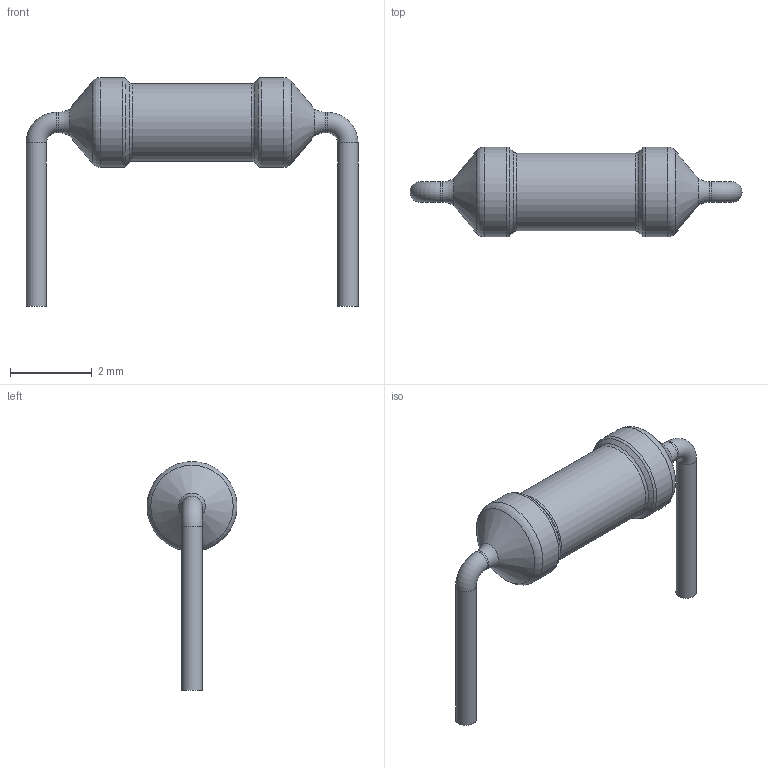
import cadquery as cq
import math


lead_diameter = 0.5
lead_pitch = 7.62
bend_radius = 0.5
lead_drop = 4.5
lead_radius = lead_diameter / 2
lead_x = lead_pitch / 2
bend_start_x = lead_x - bend_radius

barrel_radius = 1.9 / 2
cap_radius = 2.2 / 2
step_foot_x = 1.5
step_angle = math.radians(45)
step_height = cap_radius - barrel_radius
step_head_x = step_foot_x + step_height / math.tan(step_angle)
step_blend_radius = 0.1
step_blend_length = step_blend_radius * math.tan(step_angle / 2)
barrel_end_x = step_foot_x - step_blend_length
cap_straight_end_x = 2.24
shoulder_radius = 0.25

flare_start_x = 2.995
flare_end_x = 3.264
flare_radius = 0.5


def point_on_circle(center, radius, angle):
    return (center[0] + radius * math.cos(angle), center[1] + radius * math.sin(angle))


def end_cap_profile():
    """Closed (x, radius) outline from the +X end of the barrel to the start of the lead bend."""
    up = math.pi / 2
    down = -math.pi / 2

    foot_center = (barrel_end_x, barrel_radius + step_blend_radius)
    head_center = (step_head_x + step_blend_length, cap_radius - step_blend_radius)

    def foot_point(turn):
        return point_on_circle(foot_center, step_blend_radius, down + turn)

    def head_point(turn):
        return point_on_circle(head_center, step_blend_radius, up + turn)

    flare_center = (flare_end_x, lead_radius + flare_radius)
    flare_sweep = math.asin((flare_end_x - flare_start_x) / flare_radius)
    flare_start = point_on_circle(flare_center, flare_radius, down - flare_sweep)
    flare_middle = point_on_circle(flare_center, flare_radius, down - flare_sweep / 2)

    shoulder_center = (cap_straight_end_x, cap_radius - shoulder_radius)
    cone_dx = flare_start[0] - shoulder_center[0]
    cone_dr = flare_start[1] - shoulder_center[1]
    shoulder_end_angle = math.atan2(cone_dr, cone_dx) + math.acos(
        shoulder_radius / math.hypot(cone_dx, cone_dr)
    )
    shoulder_middle_angle = (up + shoulder_end_angle) / 2

    return (
        cq.Workplane("XZ")
        .moveTo(barrel_end_x, 0)
        .lineTo(*foot_point(0))
        .threePointArc(foot_point(step_angle / 2), foot_point(step_angle))
        .lineTo(*head_point(step_angle))
        .threePointArc(head_point(step_angle / 2), head_point(0))
        .lineTo(cap_straight_end_x, cap_radius)
        .threePointArc(
            point_on_circle(shoulder_center, shoulder_radius, shoulder_middle_angle),
            point_on_circle(shoulder_center, shoulder_radius, shoulder_end_angle),
        )
        .lineTo(*flare_start)
        .threePointArc(flare_middle, (flare_end_x, lead_radius))
        .lineTo(bend_start_x, lead_radius)
        .lineTo(bend_start_x, 0)
        .close()
    )


def barrel():
    """Cylinder between the two end caps."""
    return cq.Workplane("YZ").circle(barrel_radius).extrude(barrel_end_x, both=True)


def end_cap():
    """Turned +X end: step, cap, cone, flare and the straight start of the lead."""
    return end_cap_profile().revolve(360, (0, 0, 0), (1, 0, 0))


def bent_lead():
    """Quarter bend and straight leg of the +X lead."""
    bend_end = (lead_x, -bend_radius)
    bend_middle = point_on_circle((bend_start_x, -bend_radius), bend_radius, math.radians(45))
    path = (
        cq.Workplane("XZ")
        .moveTo(bend_start_x, 0)
        .threePointArc(bend_middle, bend_end)
        .lineTo(lead_x, -lead_drop)
    )
    return cq.Workplane("YZ", origin=(bend_start_x, 0, 0)).circle(lead_radius).sweep(path)


right_end = end_cap().union(bent_lead())
left_end = right_end.mirror("YZ")
result = barrel().union(right_end).union(left_end).solids()